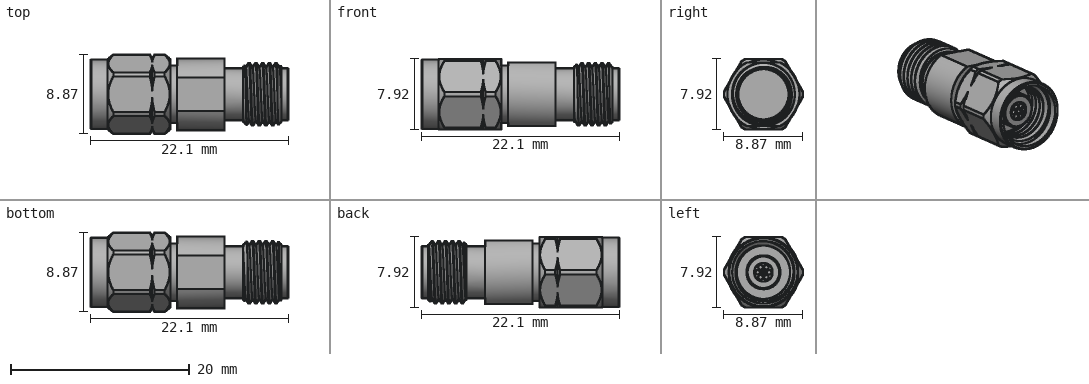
import cadquery as cq
import math


pitch = 0.75
thread_crest_flat = 0.09
thread_overcut = 0.05

nut_length = 8.94
barrel_length = 1.9
barrel_radius = 3.9
barrel_edge_chamfer = 0.09
hex_across_flats = 7.92
hex_across_corners = 8.87
hex_chamfer_length = 0.65
hex_rear_radius = 3.9
vee_position = 6.9
vee_half_width = 0.27
vee_bottom_radius = 3.98
mouth_radius = 3.5
mouth_depth = 1.02
nut_thread_crest_radius = 2.99
nut_thread_root_radius = 3.47
nut_groove_start = 0.1
nut_groove_turns = 5.2

boss_face = 2.17
boss_radius = 1.9
boss_chamfer = 0.13
shank_start = 4.42
shank_radius = 3.23
collar_start = 9.69
collar_end = 15.0
collar_radius = 4.03
collar_across_flats = 7.15
tail_radius = 2.92
tail_end_chamfer = 0.1
body_end = 22.12
thread_start = 17.08
thread_end = 21.37
thread_crest_radius = 3.52
thread_root_radius = 3.0
thread_end_radius = 3.05
body_groove_start = 16.61
body_groove_turns = 7

bead_radius = 1.05
bead_length = 1.1
bead_hole_count = 6
bead_hole_radius = 0.27
bead_hole_circle_radius = 0.65
pin_diameter = 0.46
pin_tip_diameter = 0.2
pin_tip = 1.17
pin_taper_length = 0.3


def revolve_about_x(points):
    """Solid of revolution about X from (x, radius) points."""
    return cq.Workplane("XY").polyline(points).close().revolve(360, (0, 0, 0), (1, 0, 0))


def cylinder_along_x(start, end, radius):
    return cq.Workplane("YZ", origin=(start, 0, 0)).circle(radius).extrude(end - start)


def helical_groove(root_radius, open_radius, start, turns):
    """Right-hand V groove along X, sharp at root_radius and widest where it opens past the crest."""
    crest_half_width = (pitch - thread_crest_flat) / 2
    opening = open_radius - root_radius
    overcut = math.copysign(thread_overcut, opening)
    half_width = crest_half_width * (opening + overcut) / opening
    path = cq.Workplane(cq.Wire.makeHelix(pitch, pitch * turns, root_radius))
    groove = (
        cq.Workplane("XZ")
        .polyline([
            (root_radius, 0),
            (open_radius + overcut, half_width),
            (open_radius + overcut, -half_width),
        ])
        .close()
        .sweep(path, isFrenet=True)
    )
    groove = groove.rotate((0, 0, 0), (0, 1, 0), 90).rotate((0, 0, 0), (1, 0, 0), 90)
    return groove.translate((start, 0, 0))


def make_nut():
    hex_corner_radius = hex_across_corners / 2
    envelope = revolve_about_x([
        (0, 0),
        (0, barrel_radius - barrel_edge_chamfer),
        (barrel_edge_chamfer, barrel_radius),
        (barrel_length, barrel_radius),
        (barrel_length + hex_chamfer_length, hex_corner_radius),
        (vee_position - vee_half_width, hex_corner_radius),
        (vee_position, vee_bottom_radius),
        (vee_position + vee_half_width, hex_corner_radius),
        (nut_length - hex_chamfer_length, hex_corner_radius),
        (nut_length, hex_rear_radius),
        (nut_length, 0),
    ])
    hex_prism = (
        cq.Workplane("YZ")
        .polygon(6, hex_across_flats / math.cos(math.pi / 6))
        .extrude(nut_length)
    )
    lead_in_end = mouth_depth + mouth_radius - nut_thread_crest_radius
    bore = revolve_about_x([
        (0, 0),
        (0, mouth_radius),
        (mouth_depth, mouth_radius),
        (lead_in_end, nut_thread_crest_radius),
        (shank_start, nut_thread_crest_radius),
        (shank_start, shank_radius),
        (nut_length, shank_radius),
        (nut_length, 0),
    ])
    groove = helical_groove(
        nut_thread_root_radius, nut_thread_crest_radius, nut_groove_start, nut_groove_turns
    )
    return envelope.intersect(hex_prism).cut(bore).cut(groove)


def make_collar():
    """Round collar with one flat on top and one below."""
    length = collar_end - collar_start
    flats = (
        cq.Workplane("XY")
        .box(length, 2 * collar_radius, collar_across_flats)
        .translate(((collar_start + collar_end) / 2, 0, 0))
    )
    return cylinder_along_x(collar_start, collar_end, collar_radius).intersect(flats)


def make_thread():
    """Threaded length of the tail, with a 45 degree chamfer at each end."""
    chamfer = thread_crest_radius - thread_end_radius
    ridges = cylinder_along_x(thread_start, thread_end, thread_crest_radius).cut(
        helical_groove(thread_root_radius, thread_crest_radius, body_groove_start, body_groove_turns)
    )
    chamfered_envelope = revolve_about_x([
        (thread_start, 0),
        (thread_start, thread_end_radius),
        (thread_start + chamfer, thread_crest_radius),
        (thread_end - chamfer, thread_crest_radius),
        (thread_end, thread_end_radius),
        (thread_end, 0),
    ])
    return ridges.intersect(chamfered_envelope)


def make_body():
    turned = revolve_about_x([
        (boss_face, 0),
        (boss_face, boss_radius - boss_chamfer),
        (boss_face + boss_chamfer, boss_radius),
        (shank_start, boss_radius),
        (shank_start, shank_radius),
        (collar_start, shank_radius),
        (collar_start, tail_radius),
        (body_end - tail_end_chamfer, tail_radius),
        (body_end, tail_radius - tail_end_chamfer),
        (body_end, 0),
    ])
    bead_recess = cylinder_along_x(boss_face, boss_face + bead_length, bead_radius)
    return turned.union(make_collar()).union(make_thread()).cut(bead_recess)


def make_contact():
    """Bead with a ring of through holes, carrying the tapered pin."""
    holes = (
        cq.Workplane("YZ", origin=(boss_face, 0, 0))
        .polarArray(bead_hole_circle_radius, 0, 360, bead_hole_count)
        .circle(bead_hole_radius)
        .extrude(bead_length)
    )
    bead = cylinder_along_x(boss_face, boss_face + bead_length, bead_radius).cut(holes)
    pin_radius = pin_diameter / 2
    pin = revolve_about_x([
        (pin_tip, 0),
        (pin_tip, pin_tip_diameter / 2),
        (pin_tip + pin_taper_length, pin_radius),
        (boss_face + bead_length, pin_radius),
        (boss_face + bead_length, 0),
    ])
    return bead.union(pin)


nut = make_nut()
body = make_body()
contact = make_contact()

result = cq.Compound.makeCompound([nut.solids().val(), body.solids().val(), contact.solids().val()])